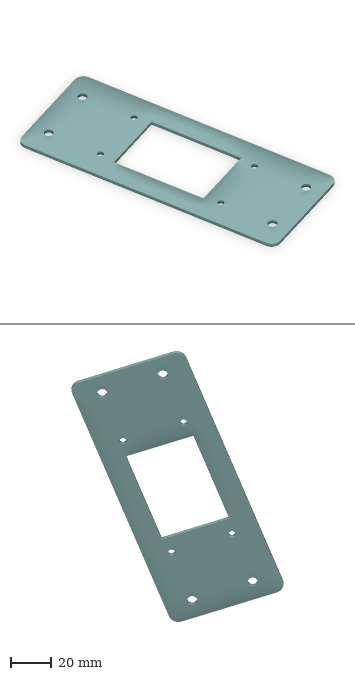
import cadquery as cq

plate_length = 150.0
plate_width = 60.0
plate_thickness = 2.0
corner_radius = 5.0

window_length = 52.0
window_width = 35.7

hole_row_spacing = 32.0
mounting_hole_spacing = 130.0
mounting_hole_diameter = 5.0
inner_hole_spacing = 70.0
inner_hole_diameter = 3.5


def make_plate():
    """Flat plate with rounded vertical corners."""
    plate = cq.Workplane("XY").box(plate_length, plate_width, plate_thickness)
    return plate.edges("|Z").fillet(corner_radius)


def cut_window(plate):
    """Cut the sharp-cornered window through the plate."""
    return plate.faces(">Z").workplane().rect(window_length, window_width).cutThruAll()


def drill_four_holes(plate, column_spacing, diameter):
    """Drill one through hole at each corner of a centred rectangle."""
    corners = plate.faces(">Z").workplane().rect(column_spacing, hole_row_spacing, forConstruction=True)
    return corners.vertices().hole(diameter)


result = cut_window(make_plate())
result = drill_four_holes(result, mounting_hole_spacing, mounting_hole_diameter)
result = drill_four_holes(result, inner_hole_spacing, inner_hole_diameter)